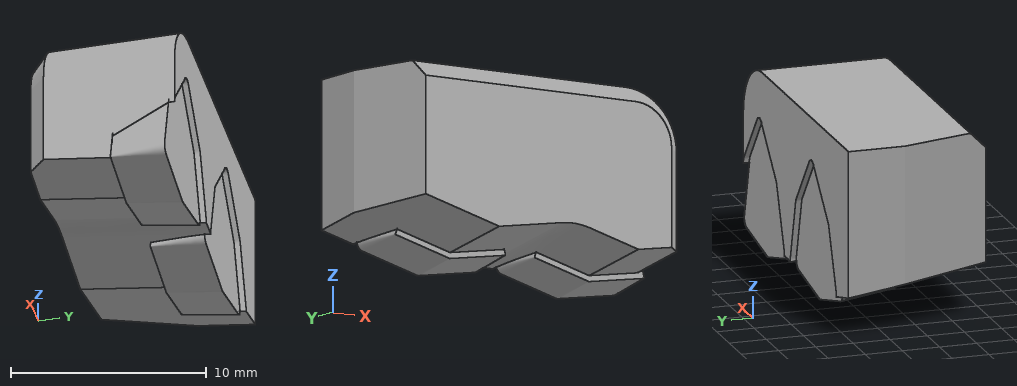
import cadquery as cq
import math


HOLDER_LENGTH = 17.2
HOLDER_DEPTH = 7.8
BLOCK_HEIGHT = 10.81
CORNER_RADIUS = 3.1
FRONT_CHAMFER = 0.9
BEVEL_START = 3.03
BEVEL_WIDTH = 1.26

CORNER_COUNT = 6
INSERT_SIDE = 4.0
INSERT_THICKNESS = 2.95
INSERT_RECESS = 0.32
NOSE_RADIUS = 0.45
BEND_ANGLE = 12.0
TILT_ANGLE = 3.1
RELIEF_ANGLE = 8.0
FIRST_TIP_X = 5.68
FIRST_TIP_Z = -9.65
INSERT_STEP_X = 8.5
INSERT_STEP_Z = -0.29
INSERT_COUNT = 2

INSERT_OVERHANG = 0.27
VALLEY_RADIUS = 4.0
WASTE_MARGIN = 0.36

FALLING_ANGLE = math.radians(BEND_ANGLE + TILT_ANGLE)
RISING_ANGLE = math.radians(BEND_ANGLE - TILT_ANGLE)
UP_X = math.sin(math.radians(TILT_ANGLE))
UP_Z = math.cos(math.radians(TILT_ANGLE))
SECTOR_ANGLE = 360 / CORNER_COUNT
HALF_BLUNT_ANGLE = 90 - BEND_ANGLE
HALF_NOSE_ANGLE = 180 - SECTOR_ANGLE - HALF_BLUNT_ANGLE
SECTOR_CIRCLE_DIAMETER = INSERT_SIDE / math.sin(math.radians(SECTOR_ANGLE))
BLUNT_CORNER_DISTANCE = SECTOR_CIRCLE_DIAMETER * math.sin(math.radians(HALF_NOSE_ANGLE))
NOSE_DISTANCE = SECTOR_CIRCLE_DIAMETER * math.sin(math.radians(HALF_BLUNT_ANGLE))


def tip_position(index):
    """X and Z of the lowest blunt corner of an insert."""
    return FIRST_TIP_X + index * INSERT_STEP_X, FIRST_TIP_Z + index * INSERT_STEP_Z


def rake_outline(index):
    """Rounded trigon outline of an insert's rake face, three blunt corners and three noses."""
    tip_x, tip_z = tip_position(index)
    center_x = tip_x + BLUNT_CORNER_DISTANCE * UP_X
    center_z = tip_z + BLUNT_CORNER_DISTANCE * UP_Z
    corners = []
    for corner in range(CORNER_COUNT):
        distance = NOSE_DISTANCE if corner % 2 else BLUNT_CORNER_DISTANCE
        angle = math.radians(-90 - TILT_ANGLE + SECTOR_ANGLE * corner)
        x = center_x + distance * math.cos(angle)
        z = center_z + distance * math.sin(angle)
        corners.append(cq.Vector(x, -INSERT_RECESS, z))
    outline = cq.Wire.makePolygon(corners, close=True)
    return outline.fillet2D(NOSE_RADIUS, outline.Vertices())


def make_insert(index):
    """Trigon insert whose flanks lean inward from the rake face toward the front."""
    toward_front = cq.Vector(0, -INSERT_THICKNESS, 0)
    return cq.Solid.extrudeLinear(rake_outline(index), [], toward_front, RELIEF_ANGLE)


def make_block():
    """Block with a rounded upper right corner, a front chamfer along top and right, and a left bevel."""
    chamfered_edges = cq.selectors.BoxSelector(
        (FRONT_CHAMFER, -HOLDER_DEPTH - FRONT_CHAMFER, FRONT_CHAMFER - BLOCK_HEIGHT),
        (HOLDER_LENGTH + FRONT_CHAMFER, FRONT_CHAMFER - HOLDER_DEPTH, FRONT_CHAMFER),
    )
    block = (
        cq.Workplane("XY")
        .box(HOLDER_LENGTH, HOLDER_DEPTH, BLOCK_HEIGHT, centered=False)
        .translate((0, -HOLDER_DEPTH, -BLOCK_HEIGHT))
        .edges(">X and >Z")
        .fillet(CORNER_RADIUS)
        .edges(chamfered_edges)
        .chamfer(FRONT_CHAMFER)
    )
    bevel = (
        cq.Workplane("XY")
        .polyline([(0, -BEVEL_START), (0, -HOLDER_DEPTH), (BEVEL_WIDTH, -HOLDER_DEPTH)])
        .close()
        .extrude(-BLOCK_HEIGHT)
    )
    return block.cut(bevel)


def lobe_corner(index):
    """X and Z of a bottom lobe at the back face, set in from the insert's blunt corner."""
    tip_x, tip_z = tip_position(index)
    inset = INSERT_OVERHANG / math.cos(math.radians(BEND_ANGLE))
    return tip_x + inset * UP_X, tip_z + inset * UP_Z


def make_bottom_waste():
    """Material below the holder's two-lobed bottom, which rises toward the front."""
    first_x, first_z = lobe_corner(0)
    second_x, second_z = lobe_corner(1)
    falling_slope = math.tan(FALLING_ANGLE)
    rising_slope = math.tan(RISING_ANGLE)
    left_x = -WASTE_MARGIN
    right_x = HOLDER_LENGTH + WASTE_MARGIN
    waste_z = -BLOCK_HEIGHT - HOLDER_DEPTH
    lobe_step_x = second_x - first_x
    lobe_step_z = second_z - first_z
    valley_step_x = (lobe_step_z + lobe_step_x * falling_slope) / (falling_slope + rising_slope)
    valley = cq.Vector(first_x + valley_step_x, 0, first_z + valley_step_x * rising_slope)
    outline = cq.Wire.makePolygon(
        [
            cq.Vector(left_x, 0, first_z + (first_x - left_x) * falling_slope),
            cq.Vector(first_x, 0, first_z),
            valley,
            cq.Vector(second_x, 0, second_z),
            cq.Vector(right_x, 0, second_z + (right_x - second_x) * rising_slope),
            cq.Vector(right_x, 0, waste_z),
            cq.Vector(left_x, 0, waste_z),
        ],
        close=True,
    )
    valley_corner = min(outline.Vertices(), key=lambda vertex: (vertex.Center() - valley).Length)
    outline = outline.fillet2D(VALLEY_RADIUS, [valley_corner])
    rise = HOLDER_DEPTH * math.tan(math.radians(RELIEF_ANGLE))
    toward_front = cq.Vector(rise * UP_X, -HOLDER_DEPTH, rise * UP_Z)
    return cq.Solid.extrudeLinear(outline, [], toward_front)


def make_recess_opening(index):
    """Space behind an insert's rake face, open to the holder's back face."""
    return cq.Solid.extrudeLinear(rake_outline(index), [], cq.Vector(0, INSERT_RECESS, 0))


def make_holder(inserts):
    """Holder trimmed to its bottom profile, with a pocket for each insert."""
    holder = make_block().cut(cq.Workplane(make_bottom_waste()))
    for index, insert in enumerate(inserts):
        holder = holder.cut(cq.Workplane(insert))
        holder = holder.cut(cq.Workplane(make_recess_opening(index)))
    return holder


inserts = [make_insert(index) for index in range(INSERT_COUNT)]
holder = make_holder(inserts)

result = cq.Compound.makeCompound([*holder.vals(), *inserts])